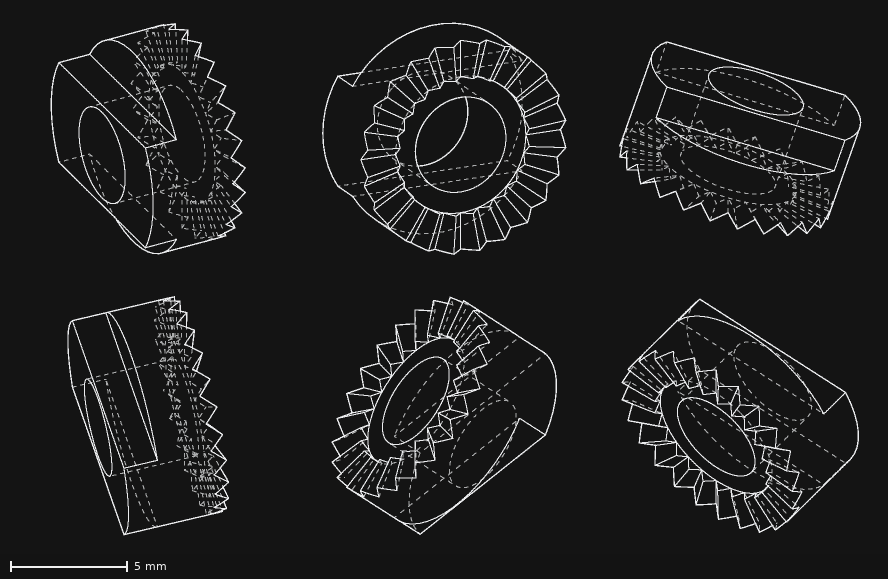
import cadquery as cq
import math

outer_radius = 4.75
total_length = 4.5
bore_diameter = 4.3
tongue_width = 5.02
tongue_height = 1.5
recess_diameter = 6.19
tooth_count = 24

tooth_depth = outer_radius * math.sin(math.pi / tooth_count)
root_y = total_length - tooth_depth


def cylinder(diameter, start_y, length):
    """Cylinder about the Y axis, running from start_y toward +Y."""
    return cq.Workplane("XZ", origin=(0, start_y, 0)).circle(diameter / 2).extrude(-length)


def tooth_groove(angle):
    """V groove across the full diameter, with its level root at root_y."""
    half_width = 2 * tooth_depth
    half_length = 1.2 * outer_radius
    groove = (
        cq.Workplane("XY")
        .moveTo(0, root_y)
        .lineTo(half_width, root_y + half_width)
        .lineTo(-half_width, root_y + half_width)
        .close()
        .extrude(half_length, both=True)
    )
    return groove.rotate((0, 0, 0), (0, 1, 0), angle)


body = cylinder(2 * outer_radius, 0, total_length)
flank_depth = outer_radius - tongue_width / 2
for side in (-1, 1):
    flank = cq.Workplane("XY").box(2 * outer_radius, tongue_height, flank_depth)
    flank_z = side * (tongue_width + flank_depth) / 2
    body = body.cut(flank.translate((0, tongue_height / 2, flank_z)))

body = body.cut(cylinder(bore_diameter, 0, total_length))
body = body.cut(cylinder(recess_diameter, root_y, tooth_depth))

for index in range(tooth_count // 2):
    body = body.cut(tooth_groove(index * 360 / tooth_count))

result = body